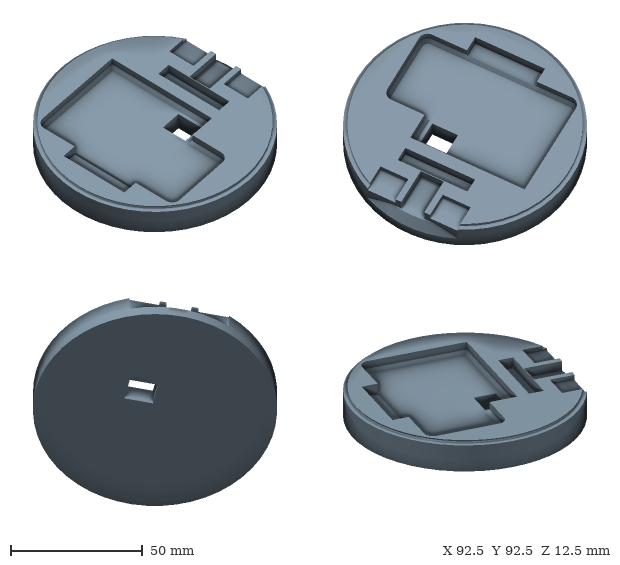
import cadquery as cq
import math

body_radius = 46.25
total_height = 12.5
lip_height = 1.4
lip_radius = 44.6
shoulder_z = total_height - lip_height
lip_groove_depth = 0.4

back_flat_y = 42.0
bevel_bottom_z = 4.5
bevel_size = 3.4
bevel_top_z = bevel_bottom_z + bevel_size
bevel_top_radius = body_radius - bevel_size

notch_inner_x = 7.4
notch_front_y = 31.7
notch_floor_z = 10.1
notch_chamfer = 0.3
channel_half_width = 4.95
channel_front_y = 26.4
channel_chamfer = 0.5

pocket_left = -33.7
pocket_back = 15.0
step_x = 15.5
step_y = 3.5
pocket_right_back = 33.4
pocket_right_front = 33.6
pocket_front_left = -29.7
pocket_front_right = -29.4
pocket_floor_z = 7.8
pocket_corner_radius = 3.65
pocket_chamfer = 1.5

slot_half_length = 15.0
slot_floor_z = 7.9
back_slot_y = (20.0, 26.1)
front_slot_y = (-36.2, pocket_front_right)
hole_x = (1.5, 12.5)
hole_y = (3.0, 12.1)


def block(x_range, y_range, z_range):
    """Axis-aligned block between pairs of limits."""
    size = [high - low for low, high in (x_range, y_range, z_range)]
    corner = (x_range[0], y_range[0], z_range[0])
    return cq.Workplane("XY").box(*size, centered=False).translate(corner)


def round_body():
    """Disc, shoulder and lip, with a V groove around the lip, turned about Z."""
    profile = [
        (0, 0),
        (body_radius, 0),
        (body_radius, shoulder_z),
        (lip_radius, shoulder_z),
        (lip_radius - lip_groove_depth, shoulder_z + lip_height / 2),
        (lip_radius, total_height),
        (0, total_height),
    ]
    return cq.Workplane("XZ").polyline(profile).close().revolve(360, (0, 0, 0), (0, 1, 0))


def back_edge_cutter():
    """Material behind the flat and above the conical bevel."""
    core_profile = [
        (0, 0),
        (body_radius, 0),
        (body_radius, bevel_bottom_z),
        (bevel_top_radius, bevel_top_z),
        (0, bevel_top_z),
    ]
    core = cq.Workplane("XZ").polyline(core_profile).close().revolve(360, (0, 0, 0), (0, 1, 0))
    behind = block((-body_radius, body_radius), (back_flat_y, body_radius), (bevel_bottom_z, total_height))
    return behind.cut(core)


def back_opening(x_range, front_y, floor_z, chamfer):
    """Opening that runs out through the back, chamfered along its floor."""
    opening = block(x_range, (front_y, body_radius), (floor_z, total_height))
    return opening.faces("<Z").edges().chamfer(chamfer)


def pocket_cutter():
    """Stepped pocket with three rounded corners and a chamfer around its floor."""
    outline = [
        (pocket_left, pocket_back),
        (step_x, pocket_back),
        (step_x, step_y),
        (pocket_right_back, step_y),
        (pocket_right_front, pocket_front_right),
        (pocket_left, pocket_front_left),
    ]
    depth = total_height - pocket_floor_z
    pocket = cq.Workplane("XY").workplane(offset=pocket_floor_z).polyline(outline).close().extrude(depth)
    for corner in outline[3:]:
        nearest = cq.selectors.NearestToPointSelector((*corner, total_height - depth / 2))
        pocket = pocket.edges("|Z").edges(nearest).fillet(pocket_corner_radius)
    return pocket.faces("<Z").edges().chamfer(pocket_chamfer)


result = round_body().cut(back_edge_cutter())

notch_outer_x = math.sqrt(body_radius**2 - back_flat_y**2)
for notch_x in ((-notch_outer_x, -notch_inner_x), (notch_inner_x, notch_outer_x)):
    result = result.cut(back_opening(notch_x, notch_front_y, notch_floor_z, notch_chamfer))

channel_x = (-channel_half_width, channel_half_width)
result = result.cut(back_opening(channel_x, channel_front_y, bevel_top_z, channel_chamfer))

result = result.cut(pocket_cutter())
for slot_y in (back_slot_y, front_slot_y):
    slot_x = (-slot_half_length, slot_half_length)
    result = result.cut(block(slot_x, slot_y, (slot_floor_z, total_height)))
result = result.cut(block(hole_x, hole_y, (0, total_height)))